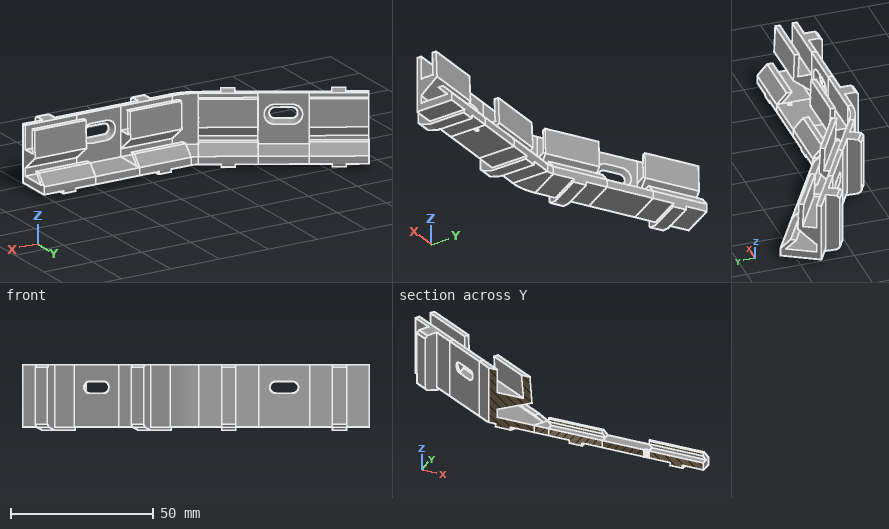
import cadquery as cq

clip_length = 21.03
plate_length = 18.0
clip_starts = (0.0, clip_length + plate_length)

depth = 14.75
height = 22.0
wall = 1.75
base = 3.0

bend_angle = 30.0
inner_radius = 5.24
outer_radius = inner_radius + depth

lip_top = 7.0
lip_thickness = 2.0
lip_lean = 3.7

slot_floor = 12.9
arm_inner = 6.75
arm_outer = 8.5
arm_lean = 0.4
arm_elbow = 11.6
arm_root = 6.0

rib_width = 5.0
rib_reach = 5.0
rib_chamfer = 1.0
tongue_drop = 1.13
tongue_end_slant = 0.3

screw_slot_length = 10.0
screw_slot_width = 4.0
screw_slot_height = 14.0
screw_slot_flare = 45.0

ring_outer_diameter = 1.4
disc_diameter = 0.7
ring_from_plate_end = 1.3
ring_depth = 10.3


def extrude_along_x(points, start, length):
    """Extrude a (depth, height) outline along X, with depth 0 on the outer wall face."""
    outline = cq.Workplane("YZ", origin=(start, -outer_radius, 0)).polyline(points).close()
    return outline.extrude(length)


def make_clip(start):
    """Clip segment: wall, spring arm, hooked lip, outer rib and the tongue below."""
    profile = [
        (0, 0),
        (depth, 0),
        (depth, base),
        (depth - lip_lean, lip_top),
        (depth - lip_lean - lip_thickness, lip_top),
        (depth - lip_thickness, base),
        (wall, base),
        (wall, arm_root),
        (arm_outer, arm_elbow),
        (arm_outer - arm_lean, height),
        (arm_inner - arm_lean, height),
        (arm_inner, slot_floor),
        (wall, slot_floor),
        (wall, height),
        (0, height),
    ]
    rib_profile = [
        (wall / 2, 0),
        (wall / 2, height),
        (rib_chamfer - rib_reach, height),
        (-rib_reach, height - rib_chamfer),
        (-rib_reach, rib_chamfer),
        (rib_chamfer - rib_reach, 0),
        (0, -tongue_drop),
        (depth - tongue_end_slant, -tongue_drop),
        (depth, 0),
    ]
    rib_start = start + (clip_length - rib_width) / 2
    body = extrude_along_x(profile, start, clip_length)
    return body.union(extrude_along_x(rib_profile, rib_start, rib_width))


def make_plate(start):
    """Plain L-shaped segment with a flared screw slot through its wall."""
    profile = [(0, 0), (depth, 0), (depth, base), (wall, base), (wall, height), (0, height)]
    body = extrude_along_x(profile, start, plate_length)
    slot = (
        cq.Workplane("XZ", origin=(start + plate_length / 2, -outer_radius, screw_slot_height))
        .slot2D(screw_slot_length, screw_slot_width)
        .extrude(-wall, taper=-screw_slot_flare)
    )
    return body.cut(slot)


def make_bend():
    """L-shaped segment swept about the origin, from the straight arm to the turned arm."""
    profile = [
        (-outer_radius, 0),
        (-inner_radius, 0),
        (-inner_radius, base),
        (wall - outer_radius, base),
        (wall - outer_radius, height),
        (-outer_radius, height),
    ]
    sketch = cq.Workplane("YZ").polyline(profile).close()
    return sketch.revolve(bend_angle, (0, 0, 0), (0, -1, 0))


def ring_cylinder(diameter):
    """Cylinder of base thickness at the place of the ring cut."""
    center_x = clip_length + plate_length - ring_from_plate_end
    center_y = ring_depth - outer_radius
    return cq.Workplane("XY", origin=(center_x, center_y, 0)).circle(diameter / 2).extrude(base)


def turn(body, angle):
    """Turn a body about the bend axis, anticlockwise seen from above."""
    return body.rotate((0, 0, 0), (0, 0, 1), angle)


straight_clips = [make_clip(start) for start in clip_starts]
straight_plate = make_plate(clip_length).cut(ring_cylinder(ring_outer_diameter))
loose_disc = ring_cylinder(disc_diameter)

turned_clips = [turn(make_clip(-start - clip_length), -bend_angle) for start in clip_starts]
turned_plate = turn(make_plate(-clip_length - plate_length), -bend_angle)

bend = make_bend()

bodies = [*straight_clips, straight_plate, loose_disc, bend, *turned_clips, turned_plate]
result = cq.Compound.makeCompound([body.val() for body in bodies])